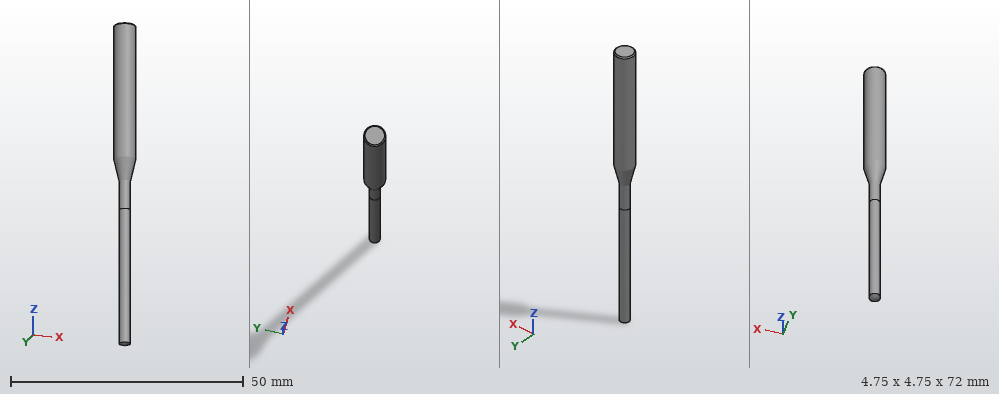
import cadquery as cq
import math

total_length = 72.0
shank_diameter = 4.75
shank_length = 30.2
shank_chamfer = 0.3
taper_length = 5.0
drill_diameter = 2.45
neck_length = 6.3
point_angle = 140.0

shank_radius = shank_diameter / 2
drill_radius = drill_diameter / 2
top_z = total_length / 2
tip_z = -total_length / 2
shank_bottom_z = top_z - shank_length
taper_bottom_z = shank_bottom_z - taper_length
joint_z = taper_bottom_z - neck_length
point_height = drill_radius / math.tan(math.radians(point_angle / 2))


def revolve_profile(points):
    """Turn a closed (radius, height) outline about the Z axis."""
    return cq.Workplane("XZ").polyline(points).close().revolve(360, (0, 0, 0), (0, 1, 0))


def make_shank():
    """Chamfered shank tapering to a neck as wide as the drill."""
    return revolve_profile([
        (0, joint_z),
        (drill_radius, joint_z),
        (drill_radius, taper_bottom_z),
        (shank_radius, shank_bottom_z),
        (shank_radius, top_z - shank_chamfer),
        (shank_radius - shank_chamfer, top_z),
        (0, top_z),
    ])


def make_cutting_part():
    """Plain cylinder ending in a conical point."""
    return revolve_profile([
        (0, tip_z),
        (drill_radius, tip_z + point_height),
        (drill_radius, joint_z),
        (0, joint_z),
    ])


shank = make_shank()
cutting_part = make_cutting_part()

result = cq.Compound.makeCompound([shank.val(), cutting_part.val()])